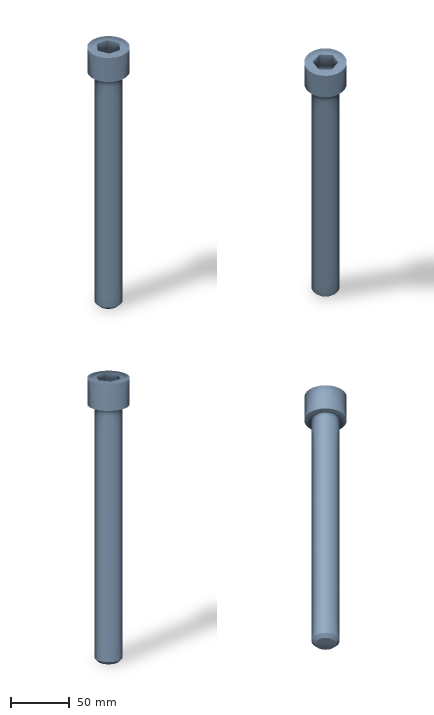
import cadquery as cq
import math

total_length = 254.0
head_diameter = 36.0
shank_diameter = 24.0
head_height = shank_diameter
shank_length = total_length - head_height
thread_length = 60.0
tip_chamfer = 3.0
socket_across_flats = 19.0
socket_depth = 14.0


def make_head():
    return cq.Workplane("XY").circle(head_diameter / 2).extrude(head_height)


def make_shank():
    """Plain shank and threaded section, kept as two faces meeting at the thread start."""
    plain_length = shank_length - thread_length
    plain = cq.Workplane("XY").circle(shank_diameter / 2).extrude(-plain_length)
    threaded = (
        cq.Workplane("XY", origin=(0, 0, -plain_length))
        .circle(shank_diameter / 2)
        .extrude(-thread_length)
        .faces("<Z")
        .chamfer(tip_chamfer)
    )
    return plain.union(threaded, clean=False)


def make_socket():
    """Hexagonal socket with two corners on the X axis."""
    across_corners = socket_across_flats / math.cos(math.pi / 6)
    return (
        cq.Workplane("XY", origin=(0, 0, head_height))
        .polygon(6, across_corners)
        .extrude(-socket_depth)
    )


screw = make_shank().union(make_head(), clean=False)
result = screw.cut(make_socket(), clean=False)